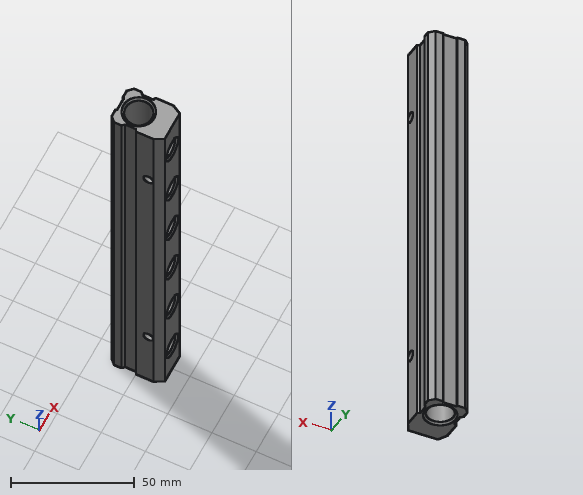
import cadquery as cq

width = 18.0
depth = 24.0
length = 185.0
half_width = width / 2
front_y = -depth / 2
back_y = depth / 2

back_bevel = 2.2
front_bevel_width = 2.2
front_bevel_depth = 4.0

back_groove_width = 6.3
back_groove_depth = 0.5

side_groove_start = 5.5
side_groove_width = 6.5
side_groove_depth = 1.1
groove_back_slope = 1.1
groove_front_slope = 0.5

bore_diameter = 11.8
bore_mouth_diameter = 13.9
bore_y = 3.1

port_count = 6
port_pitch = 30.0
port_diameter = 8.9
port_mouth_diameter = 10.7

mount_diameter = 4.5
mount_spacing = 4 * port_pitch
mount_y = front_y + front_bevel_depth + mount_diameter / 2


def make_bar():
    """Extrude the grooved section, whose right half is mirrored about X = 0."""
    groove_back_y = back_y - side_groove_start
    groove_front_y = groove_back_y - side_groove_width
    groove_floor_x = half_width - side_groove_depth
    right_half = [
        (back_groove_width / 2, back_y - back_groove_depth),
        (back_groove_width / 2, back_y),
        (half_width - back_bevel, back_y),
        (half_width, back_y - back_bevel),
        (half_width, groove_back_y),
        (groove_floor_x, groove_back_y - groove_back_slope),
        (groove_floor_x, groove_front_y + groove_front_slope),
        (half_width, groove_front_y),
        (half_width, front_y + front_bevel_depth),
        (half_width - front_bevel_width, front_y),
    ]
    left_half = [(-x, y) for x, y in reversed(right_half)]
    section = cq.Workplane("XY").polyline(right_half + left_half).close()
    return section.extrude(length / 2, both=True)


def countersunk_hole(start, direction, hole_length, diameter, mouth_diameter):
    """Cutter for a round hole with a 45 degree countersink at its start."""
    bevel = (mouth_diameter - diameter) / 2
    hole = cq.Solid.makeCylinder(diameter / 2, hole_length, start, direction)
    mouth = cq.Solid.makeCone(mouth_diameter / 2, diameter / 2, bevel, start, direction)
    return hole.fuse(mouth)


result = make_bar()

for end in (-1, 1):
    bore_start = cq.Vector(0, bore_y, end * length / 2)
    inward = cq.Vector(0, 0, -end)
    result = result.cut(
        countersunk_hole(bore_start, inward, length / 2, bore_diameter, bore_mouth_diameter)
    )

for index in range(port_count):
    port_z = (index - (port_count - 1) / 2) * port_pitch
    port_start = cq.Vector(0, front_y, port_z)
    inward = cq.Vector(0, 1, 0)
    result = result.cut(
        countersunk_hole(port_start, inward, bore_y - front_y, port_diameter, port_mouth_diameter)
    )

for end in (-1, 1):
    mount_start = cq.Vector(-half_width, mount_y, end * mount_spacing / 2)
    mount_hole = cq.Solid.makeCylinder(mount_diameter / 2, width, mount_start, cq.Vector(1, 0, 0))
    result = result.cut(mount_hole)